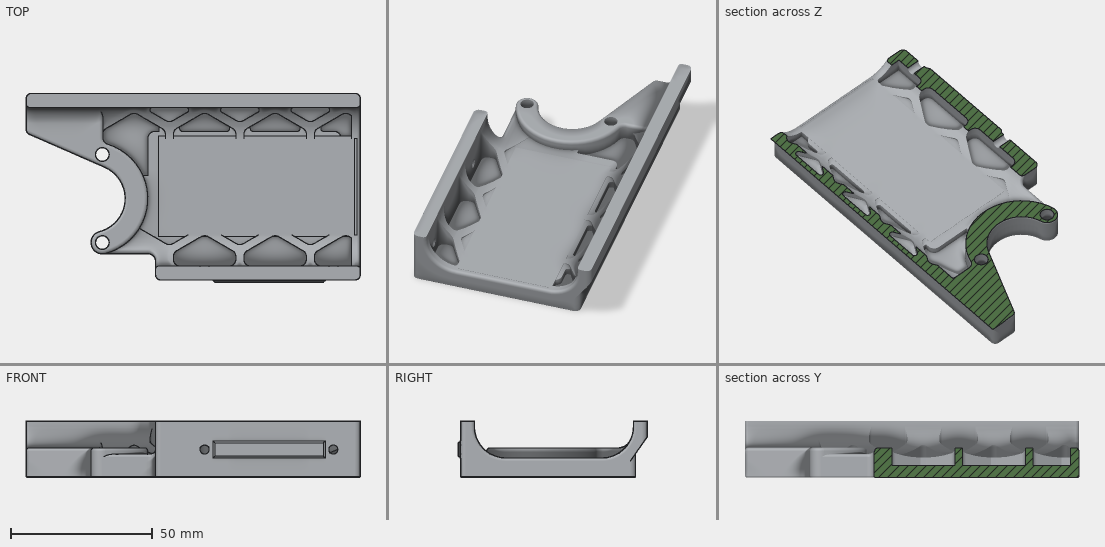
import cadquery as cq
import math

length = 118.0
width = 66.0
height = 20.0
wall = 5.0
corner_radius = 1.9
edge_round = 1.2
bottom_chamfer = 0.4
overlap = 1.2
tolerance = 0.01
middle_y = width / 2

floor_z = 7.0
channel_radius = 11.0
blend_z = floor_z + channel_radius
near_blend_y = wall + channel_radius
far_blend_y = width - wall - channel_radius

undercut_depth = 4.1
undercut_low_z = 8.5
undercut_high_z = 14.4

ring_x = 22.9
ring_y = 28.8
ring_inner_radius = 12.0
lug_radius = 4.0
ring_middle_radius = ring_inner_radius + lug_radius
ring_outer_radius = ring_middle_radius + lug_radius
screw_hole_diameter = 4.7
screw_x = 26.9
lug_angle = math.acos((screw_x - ring_x) / ring_middle_radius)
screw_offset_y = ring_middle_radius * math.sin(lug_angle)
shelf_z = 10.5
shelf_end_x = 27.1
shelf_blend_radius = 5.0
shelf_corner_radius = 2.4
nose_slope = math.radians(23.6)

near_wall_x = 45.7
neck_radius = 2.6
lug_bottom_y = ring_y - screw_offset_y - lug_radius

pitch = 24.9
first_pocket_x = 38.1
rib = 2.8
pocket_half_width = (pitch - rib) / 2
pocket_slope = math.radians(30)
pocket_round = 2.4
pocket_floor_z = 4.4
notch_floor_z = 7.5
pocket_end_x = 114.8
shallow_floor_z = 6.8
far_peak_y = 59.2
far_valley_y = 55.6
near_peak_y = 16.0
near_valley_y = 12.2
notch_round = 1.0

pad_left_x = 43.0
pad_right_x = 111.3
pad_near_y = 36.9
pad_far_y = 52.5
pad_round = 2.6
pad_tab_width = 7.3
pad_tab_round = 1.0
plate_x = 46.7
plate_y = 15.5
plate_length = 69.1
plate_width = 35.4
plate_root_z = 3.5

label_x = 66.0
label_length = 39.6
label_height = 6.0
label_thickness = 0.8
label_chamfer = 0.7
label_z = 9.9
label_hole_diameter = 3.2
label_hole_xs = (63.0, 108.5)


def ring_point(radius, angle):
    """Plan point at a polar position around the middle of the ring."""
    return (ring_x + radius * math.cos(angle), ring_y + radius * math.sin(angle))


def box(x0, x1, y0, y1, z0, z1):
    return cq.Workplane("XY").box(x1 - x0, y1 - y0, z1 - z0, centered=False).translate((x0, y0, z0))


nose_tangent = ring_point(ring_inner_radius, math.pi / 2 - nose_slope)
nose_y = nose_tangent[1] + nose_tangent[0] * math.tan(nose_slope)
lug_center = ring_point(ring_middle_radius, -lug_angle)
lug_start = ring_point(ring_inner_radius, -lug_angle)
lug_end = ring_point(ring_outer_radius, -lug_angle)
lug_bottom = (lug_center[0], lug_bottom_y)


def lug_point(angle):
    return (lug_center[0] + lug_radius * math.cos(angle), lug_center[1] + lug_radius * math.sin(angle))


def nose_outline(start):
    """Left part of the outline, from start over the nose and the bore to the lug."""
    return (
        cq.Workplane("XY").moveTo(*start)
        .lineTo(0, start[1])
        .lineTo(0, nose_y)
        .lineTo(*nose_tangent)
        .threePointArc(ring_point(ring_inner_radius, 0), lug_start)
    )


def outline_prism(far_y):
    """Full outline of the tray with its far side at far_y, corners rounded."""
    prism = (
        nose_outline((length, far_y))
        .threePointArc(lug_point(math.pi), lug_bottom)
        .lineTo(near_wall_x, lug_bottom_y)
        .lineTo(near_wall_x, 0)
        .lineTo(length, 0)
        .close().extrude(height)
    )
    corners = [(0, far_y), (length, far_y), (0, nose_y), (near_wall_x, 0), (length, 0)]
    for x, y in corners:
        prism = prism.edges(cq.selectors.NearestToPointSelector((x, y, height / 2))).fillet(corner_radius)
    neck = cq.selectors.NearestToPointSelector((near_wall_x, lug_bottom_y, height / 2))
    return prism.edges(neck).fillet(neck_radius)


def undercut():
    """Space below the sloped underside of the far wall."""
    slope_run = undercut_depth / (undercut_high_z - undercut_low_z)
    return (
        cq.Workplane("YZ")
        .moveTo(width, undercut_high_z)
        .lineTo(width - undercut_high_z * slope_run, 0)
        .lineTo(width + overlap, 0)
        .lineTo(width + overlap, undercut_high_z)
        .close().extrude(length)
    )


def outer_body():
    """Full outline above the undercut, joined with a narrower one that reaches the bottom."""
    upper = outline_prism(width).cut(undercut())
    lower = outline_prism(width - undercut_depth)
    return upper.union(lower).faces("<Z").chamfer(bottom_chamfer)


def channel():
    """Space between the walls: a flat floor with a concave blend up to each wall."""
    diagonal = channel_radius * math.sqrt(0.5)
    return (
        cq.Workplane("YZ", origin=(-overlap, 0, 0))
        .moveTo(wall, height + overlap)
        .lineTo(wall, blend_z)
        .threePointArc((near_blend_y - diagonal, blend_z - diagonal), (near_blend_y, floor_z))
        .lineTo(far_blend_y, floor_z)
        .threePointArc((far_blend_y + diagonal, blend_z - diagonal), (width - wall, blend_z))
        .lineTo(width - wall, height + overlap)
        .close().extrude(length + 2 * overlap)
    )


def shelf_channel():
    """Space above the shelf: flat, small blend, then the channel blend up to the wall."""
    center_z = shelf_z + shelf_blend_radius
    reach = channel_radius - shelf_blend_radius
    center_y = far_blend_y + math.sqrt(reach ** 2 - (blend_z - center_z) ** 2)
    meet_angle = math.atan2(center_z - blend_z, center_y - far_blend_y)

    def on_arc(y, z, radius, angle):
        return (y + radius * math.cos(angle), z + radius * math.sin(angle))

    small_middle = on_arc(center_y, center_z, shelf_blend_radius, (meet_angle - math.pi / 2) / 2)
    meet = on_arc(far_blend_y, blend_z, channel_radius, meet_angle)
    large_middle = on_arc(far_blend_y, blend_z, channel_radius, meet_angle / 2)
    return (
        cq.Workplane("YZ", origin=(-overlap, 0, 0))
        .moveTo(-overlap, height + overlap)
        .lineTo(-overlap, shelf_z)
        .lineTo(center_y, shelf_z)
        .threePointArc(small_middle, meet)
        .threePointArc(large_middle, (width - wall, blend_z))
        .lineTo(width - wall, height + overlap)
        .close().extrude(length + 2 * overlap)
    )


def shelf_plan():
    """Prism over the shelf and the half ring; the lug's arc bulges away from both ring arcs."""
    shelf_corner = ring_point(ring_outer_radius, math.acos((shelf_end_x - ring_x) / ring_outer_radius))
    prism = (
        nose_outline((shelf_end_x, width + overlap))
        .threePointArc(lug_point(-math.pi / 2 - lug_angle), lug_end)
        .threePointArc(ring_point(ring_outer_radius, 0), shelf_corner)
        .close().extrude(height)
    )
    corner = cq.selectors.NearestToPointSelector((*shelf_corner, height / 2))
    return prism.edges(corner).fillet(shelf_corner_radius)


def round_rim(body, rim_point):
    """Round the smooth chain of upper edges that runs through the point."""
    return body.edges(cq.selectors.NearestToPointSelector(rim_point)).fillet(edge_round)


def upright_edges_near(body, points):
    """Vertical edges of a prism that stand at the given plan points."""
    edges = body.edges("|Z")
    picked = [
        edge for edge in edges.vals()
        if any(math.hypot(edge.Center().x - x, edge.Center().y - y) < tolerance for x, y in points)
    ]
    return edges.newObject(picked)


def pocket(center_x, tip_y, base_y, floor, point_up):
    """House-shaped pocket above floor, upside down if not point_up."""
    rise = pocket_half_width * math.tan(pocket_slope)
    shoulder_y = tip_y - rise if point_up else tip_y + rise
    prism = (
        cq.Workplane("XY", origin=(0, 0, floor))
        .moveTo(center_x - pocket_half_width, base_y)
        .lineTo(center_x + pocket_half_width, base_y)
        .lineTo(center_x + pocket_half_width, shoulder_y)
        .lineTo(center_x, tip_y)
        .lineTo(center_x - pocket_half_width, shoulder_y)
        .close().extrude(height)
    )
    end_stop = box(pocket_end_x, length + pitch, 0, width, 0, 2 * height)
    return prism.edges("|Z").fillet(pocket_round).cut(end_stop)


def notch(center_x):
    """Triangular pocket against the far wall, between two upright pockets."""
    base_y = width - wall
    half_width = (base_y - far_valley_y) / math.tan(pocket_slope)
    tip = (center_x, far_valley_y)
    base_corners = [(center_x + half_width, base_y), (center_x - half_width, base_y)]
    prism = (
        cq.Workplane("XY", origin=(0, 0, notch_floor_z))
        .polyline([tip, *base_corners])
        .close().extrude(height)
    )
    prism = upright_edges_near(prism, [tip]).fillet(pocket_round)
    return upright_edges_near(prism, base_corners).fillet(notch_round)


def pad(tab_xs):
    """Solid ground that stays standing between the deep pockets."""
    block = box(pad_left_x, pad_right_x, 0, pad_far_y, 0, 2 * height)
    ends = [(pad_left_x, pad_far_y), (pad_right_x, pad_far_y)]
    block = upright_edges_near(block, ends).fillet(pad_round)
    for x in tab_xs:
        sides = (x - pad_tab_width / 2, x + pad_tab_width / 2)
        block = block.union(box(*sides, middle_y, width, 0, 2 * height))
        roots = [(side, pad_far_y) for side in sides if side > pad_left_x + 2 * pad_round]
        block = upright_edges_near(block, roots).fillet(pad_tab_round)
    return block


def label_holes():
    return (
        cq.Workplane("XZ", origin=(0, -overlap, label_z))
        .pushPoints([(x, 0) for x in label_hole_xs])
        .circle(label_hole_diameter / 2)
        .extrude(-(wall + 2 * overlap))
    )


def screw_holes():
    return (
        cq.Workplane("XY")
        .pushPoints([(screw_x, ring_y - screw_offset_y), (screw_x, ring_y + screw_offset_y)])
        .circle(screw_hole_diameter / 2)
        .extrude(height)
    )


def label():
    return (
        cq.Workplane("XZ", origin=(label_x + label_length / 2, 0, label_z))
        .rect(label_length, label_height)
        .extrude(label_thickness)
        .faces("<Y").chamfer(label_chamfer)
    )


outer = outer_body()
shelf_gap_end_x = shelf_end_x - edge_round
shelf_gap = box(-overlap, shelf_gap_end_x, far_blend_y, width + overlap, -overlap, height + overlap)
channel_part = outer.cut(channel()).cut(shelf_gap)
channel_part = round_rim(channel_part, (length, middle_y, floor_z))
channel_part = round_rim(channel_part, (near_wall_x, wall, (blend_z + height) / 2))
shelf_part = outer.intersect(shelf_plan()).cut(shelf_channel())
shelf_part = round_rim(shelf_part, (ring_x + ring_inner_radius, ring_y, shelf_z))
tray = shelf_part.union(channel_part)

pocket_xs = [first_pocket_x + pitch * index for index in range(4)]
notch_xs = [x + pitch / 2 for x in pocket_xs[:-1]]
solid_ground = pad(notch_xs).union(shelf_plan())
for x in pocket_xs:
    tray = tray.cut(pocket(x, far_peak_y, middle_y, shallow_floor_z, True).cut(shelf_plan()))
    tray = tray.cut(pocket(x, far_peak_y, pad_near_y, pocket_floor_z, True).cut(solid_ground))
for x in pocket_xs[1:]:
    tray = tray.cut(pocket(x, near_peak_y, wall, pocket_floor_z, True))
for x in notch_xs:
    tray = tray.cut(notch(x))
    tray = tray.cut(pocket(x, near_valley_y, middle_y, shallow_floor_z, False).cut(shelf_plan()))

plate_end_x = plate_x + plate_length
tray = tray.cut(box(plate_end_x, length - edge_round, near_blend_y, far_blend_y, shallow_floor_z, height))
tray = tray.union(box(plate_x, plate_end_x, plate_y, plate_y + plate_width, plate_root_z, floor_z))

result = tray.cut(screw_holes()).cut(label_holes()).union(label())